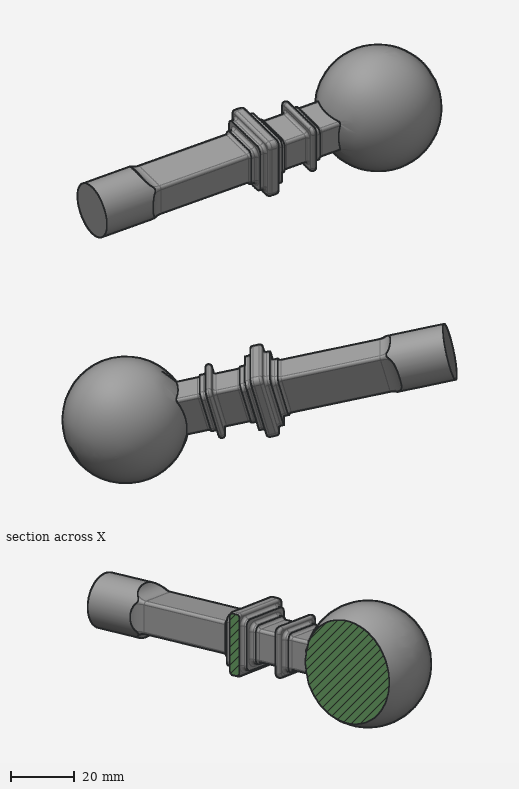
import cadquery as cq

BALL_DIAMETER = 40.0
TOTAL_LENGTH = 125.0
BALL_CENTRE_Y = TOTAL_LENGTH - BALL_DIAMETER / 2

PEG_DIAMETER = 18.0
FLARE_RADIUS = 5.0
FLARE_FOOT_Y = 16.0

SHAFT_WIDTH = 14.0
SHAFT_HEIGHT = 11.0
SHAFT_CORNER_RADIUS = 1.0

TIER_STEP = 2.0
TIER_CORNER_RADIUS = 2.0
INNER_TIER = (15.0, 13.0)
MIDDLE_TIER = tuple(size + 2 * TIER_STEP for size in INNER_TIER)
OUTER_TIER = tuple(size + 2 * TIER_STEP for size in MIDDLE_TIER)

MOULDING_RADIUS = 1.0
BAND_LENGTH = 1.0

LARGE_COLLAR_Y = 60.0
OUTER_TIER_LENGTH = 4.0

BEAD_Y = 76.0
BEAD_LENGTH = 2 * MOULDING_RADIUS
BEAD_RIM_RADIUS = MOULDING_RADIUS - 0.001

BLEND_EXTRA = 4.0


def bar(section, corner_radius, start_y, length):
    """Rectangular bar along +Y with rounded long edges."""
    width, height = section
    box = cq.Workplane("XY").box(width, length, height).edges("|Y").fillet(corner_radius)
    return box.translate((0, start_y + length / 2, 0))


def tier(section, start_y, length):
    return bar(section, TIER_CORNER_RADIUS, start_y, length)


def cove(section, corner_radius, radius, foot_y):
    """Bar rising in +Y from foot_y, with a concave fillet of the given radius around its foot."""
    margin = radius + BLEND_EXTRA
    plate_section = tuple(size + 2 * margin for size in section)
    plate = bar(plate_section, corner_radius, foot_y - BLEND_EXTRA, BLEND_EXTRA)
    post = bar(section, corner_radius, foot_y, radius + BLEND_EXTRA)
    foot_centre = cq.selectors.BoxSelector(
        (-section[0] / 2 - radius / 2, foot_y - radius / 2, -section[1] / 2 - radius / 2),
        (section[0] / 2 + radius / 2, foot_y + radius / 2, section[1] / 2 + radius / 2),
    )
    blended = plate.union(post).edges(foot_centre).fillet(radius)
    kept = cq.Workplane("XY").box(plate_section[0], radius, plate_section[1])
    return blended.intersect(kept.translate((0, foot_y + radius / 2, 0)))


def shaft_cove(radius, foot_y):
    return cove((SHAFT_WIDTH, SHAFT_HEIGHT), SHAFT_CORNER_RADIUS, radius, foot_y)


def tier_cove(section, foot_y):
    return cove(section, TIER_CORNER_RADIUS, MOULDING_RADIUS, foot_y)


def mirror_about(body, centre_y):
    return body.mirror("XZ", (0, centre_y, 0))


def inner_tier(foot_y):
    """Inner tier standing on a larger one at foot_y, with coves at both of its ends."""
    crown_y = foot_y + MOULDING_RADIUS + BAND_LENGTH
    crown = shaft_cove(MOULDING_RADIUS, crown_y).intersect(tier(INNER_TIER, crown_y, MOULDING_RADIUS))
    body = tier(INNER_TIER, foot_y, MOULDING_RADIUS + BAND_LENGTH)
    return body.union(tier_cove(INNER_TIER, foot_y)).union(crown)


def rounded_rim(section, centre_y, length, radius):
    """Tier centred on centre_y with both outer rims rounded."""
    return tier(section, centre_y - length / 2, length).faces("<Y or >Y").edges().fillet(radius)


def large_collar():
    middle_y = LARGE_COLLAR_Y + OUTER_TIER_LENGTH / 2
    middle_length = MOULDING_RADIUS + BAND_LENGTH
    half = tier(MIDDLE_TIER, middle_y, middle_length).union(tier_cove(MIDDLE_TIER, middle_y))
    half = half.union(inner_tier(middle_y + middle_length))
    rim = rounded_rim(OUTER_TIER, LARGE_COLLAR_Y, OUTER_TIER_LENGTH, MOULDING_RADIUS)
    return rim.union(half).union(mirror_about(half, LARGE_COLLAR_Y))


def small_collar():
    bead = rounded_rim(MIDDLE_TIER, BEAD_Y, BEAD_LENGTH, BEAD_RIM_RADIUS)
    top_y = BEAD_Y + BEAD_LENGTH / 2
    under_cove = mirror_about(shaft_cove(MOULDING_RADIUS, top_y), BEAD_Y)
    return bead.union(inner_tier(top_y)).union(under_cove)


def peg():
    """Round peg whose end is scooped down to the shaft section."""
    flare_length = FLARE_FOOT_Y + FLARE_RADIUS
    cylinder = cq.Workplane("XZ").circle(PEG_DIAMETER / 2).extrude(-flare_length)
    flare = shaft_cove(FLARE_RADIUS, FLARE_FOOT_Y).intersect(cylinder)
    straight = cq.Workplane("XZ").circle(PEG_DIAMETER / 2).extrude(-FLARE_FOOT_Y)
    return straight.union(flare)


def shaft():
    section = (SHAFT_WIDTH, SHAFT_HEIGHT)
    return bar(section, SHAFT_CORNER_RADIUS, FLARE_FOOT_Y, BALL_CENTRE_Y - FLARE_FOOT_Y)


def ball():
    """Ball turned so that its surface seam lies on the far side from the shaft."""
    sphere = cq.Workplane("XY").sphere(BALL_DIAMETER / 2).rotate((0, 0, 0), (0, 0, 1), 90)
    return sphere.translate((0, BALL_CENTRE_Y, 0))


result = shaft().union(peg()).union(large_collar()).union(small_collar()).union(ball())